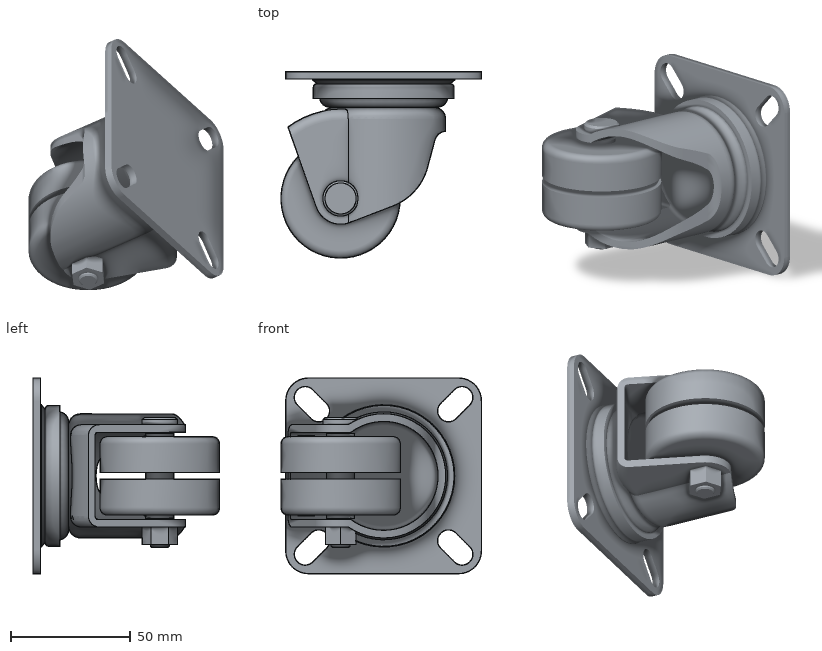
import cadquery as cq
import math


PLATE_SIZE = 82.0
PLATE_CORNER_RADIUS = 9.6
SHEET = 3.2
SLOT_WIDTH = 9.0
SLOT_RUN = 8.0
SLOT_OFFSET = 30.0

NECK_TOP_RADIUS = 29.8
NECK_RADIUS = 27.9
NECK_RIM_Y = -3.5
NECK_Y = -5.1
RING_RADIUS = 29.5
RING_ROUND = 1.5
RING_BOTTOM_Y = -11.3
DOME_RADIUS = 26.8
DOME_BOTTOM_RADIUS = 22.0
FORK_TOP_Y = -14.9

CAP_RADIUS = 26.0
CAP_ROUND = 5.0
ARM_HALF_WIDTH = 21.4
ARM_ROUND = 4.5
ARM_ROOF_Y = -15.7
ARM_ROOF_SHEET = 2.8
ARM_BEND_X = -17.5
ARM_BEND_RADIUS = 37.5
EYE_RADIUS = 10.8
FRONT_EDGE_ANGLE = 19.5
BOTTOM_EDGE_ANGLE = 21.0
BACK_EDGE_ANGLE = 15.0
NOTCH_Y = -25.0
NOTCH_X = 22.5
NOTCH_RADIUS = 5.0
HEEL_RADIUS = 24.0

AXLE_X = -18.0
AXLE_Y = -53.1
WHEEL_RADIUS = 25.0
WHEEL_WIDTH = 15.0
WHEEL_GAP = 2.8
WHEEL_ROUND = 3.0
HUB_RADIUS = 5.9
HUB_LENGTH = 35.6
AXLE_RADIUS = 4.0
AXLE_END_Z = -30.0
AXLE_CHAMFER = 0.6
HEAD_RADIUS = 7.4
HEAD_HEIGHT = 3.0
HEAD_CHAMFER = 0.9
NUT_CORNER_DIAMETER = 14.8
NUT_HEIGHT = 7.4
NUT_TURN = 90

DIAGONAL = math.sqrt(0.5)
FULL_TURN = 360
SLOT_ANGLE = 45
MARGIN = 10.0
TRIM_REACH = CAP_RADIUS + MARGIN
TRIM_BOTTOM_Y = AXLE_Y - EYE_RADIUS - MARGIN


def disc(radius, z_start, z_end):
    """Cylinder on the axle line between two Z levels."""
    base = cq.Workplane("XY", origin=(AXLE_X, AXLE_Y, min(z_start, z_end)))
    return base.circle(radius).extrude(abs(z_end - z_start))


def make_plate():
    plate = (
        cq.Workplane("XZ")
        .rect(PLATE_SIZE, PLATE_SIZE)
        .extrude(SHEET)
        .edges("|Y")
        .fillet(PLATE_CORNER_RADIUS)
    )
    for side_x in (-1, 1):
        for side_z in (-1, 1):
            slot = (
                cq.Workplane("XZ")
                .center(side_x * SLOT_OFFSET, side_z * SLOT_OFFSET)
                .slot2D(SLOT_RUN + SLOT_WIDTH, SLOT_WIDTH, SLOT_ANGLE * side_x * side_z)
                .extrude(SHEET)
            )
            plate = plate.cut(slot)
    return plate


def make_bearing():
    """Turned neck, ring and dome between the plate and the fork."""
    dome_drop = RING_BOTTOM_Y - FORK_TOP_Y
    dome_run = DOME_RADIUS - DOME_BOTTOM_RADIUS
    dome_middle = (
        DOME_BOTTOM_RADIUS + dome_run * DIAGONAL,
        RING_BOTTOM_Y - dome_drop * DIAGONAL,
    )
    ring_middle = (
        RING_RADIUS - RING_ROUND + RING_ROUND * DIAGONAL,
        NECK_Y - RING_ROUND + RING_ROUND * DIAGONAL,
    )
    return (
        cq.Workplane("XY")
        .moveTo(0, -SHEET)
        .lineTo(NECK_TOP_RADIUS, -SHEET)
        .lineTo(NECK_TOP_RADIUS, NECK_RIM_Y)
        .lineTo(NECK_RADIUS, NECK_Y)
        .lineTo(RING_RADIUS - RING_ROUND, NECK_Y)
        .threePointArc(ring_middle, (RING_RADIUS, NECK_Y - RING_ROUND))
        .lineTo(RING_RADIUS, RING_BOTTOM_Y)
        .lineTo(DOME_RADIUS, RING_BOTTOM_Y)
        .threePointArc(dome_middle, (DOME_BOTTOM_RADIUS, FORK_TOP_Y))
        .lineTo(0, FORK_TOP_Y)
        .close()
        .revolve(FULL_TURN, (0, 0, 0), (0, 1, 0))
    )


def cap_body(inset):
    """Round cap of the fork, moved inward by the inset."""
    top_y = FORK_TOP_Y - inset
    return (
        cq.Workplane("XZ", origin=(0, top_y, 0))
        .circle(CAP_RADIUS - inset)
        .extrude(top_y - TRIM_BOTTOM_Y)
        .faces(">Y")
        .edges()
        .fillet(CAP_ROUND - inset)
    )


def arm_body(side_inset, roof_inset):
    """Block of both arms under their curved roof, moved inward by the insets."""
    roof_y = ARM_ROOF_Y - roof_inset
    half_width = ARM_HALF_WIDTH - side_inset
    bend_radius = ARM_BEND_RADIUS - roof_inset
    bend_center_y = roof_y - bend_radius
    middle_x = ARM_BEND_X - bend_radius * DIAGONAL
    middle_y = bend_center_y + bend_radius * DIAGONAL
    arms = (
        cq.Workplane("XY", origin=(0, 0, -half_width))
        .moveTo(0, roof_y)
        .lineTo(ARM_BEND_X, roof_y)
        .threePointArc((middle_x, middle_y), (ARM_BEND_X - bend_radius, bend_center_y))
        .lineTo(ARM_BEND_X - bend_radius, TRIM_BOTTOM_Y)
        .lineTo(0, TRIM_BOTTOM_Y)
        .close()
        .extrude(2 * half_width)
    )
    for side_z in (-half_width, half_width):
        roof_edge = cq.selectors.NearestToPointSelector((middle_x, middle_y, side_z))
        arms = arms.edges(roof_edge).fillet(ARM_ROUND - side_inset)
    return arms


def fork_outline():
    """Side outline of the fork, extruded across its full width."""
    front = math.radians(FRONT_EDGE_ANGLE)
    bottom = math.radians(BOTTOM_EDGE_ANGLE)
    back_slope = math.tan(math.radians(BACK_EDGE_ANGLE))

    eye_front = (AXLE_X - EYE_RADIUS * math.cos(front), AXLE_Y - EYE_RADIUS * math.sin(front))
    eye_low = (AXLE_X, AXLE_Y - EYE_RADIUS)
    eye_bottom = (AXLE_X + EYE_RADIUS * math.sin(bottom), AXLE_Y - EYE_RADIUS * math.cos(bottom))
    front_top = (eye_front[0] + eye_front[1] * math.tan(front), 0)

    rise = NOTCH_Y - eye_bottom[1]
    run = NOTCH_X - eye_bottom[0]
    heel_dx = (run - back_slope * rise) / (1 - back_slope * math.tan(bottom))
    heel = (eye_bottom[0] + heel_dx, eye_bottom[1] + heel_dx * math.tan(bottom))

    outline = (
        cq.Workplane("XY", origin=(0, 0, -TRIM_REACH))
        .moveTo(*front_top)
        .lineTo(*eye_front)
        .threePointArc(eye_low, eye_bottom)
        .lineTo(*heel)
        .lineTo(NOTCH_X, NOTCH_Y)
        .lineTo(TRIM_REACH, NOTCH_Y)
        .lineTo(TRIM_REACH, 0)
        .close()
        .extrude(2 * TRIM_REACH)
    )
    heel_edge = cq.selectors.NearestToPointSelector((heel[0], heel[1], 0))
    outline = outline.edges(heel_edge).fillet(HEEL_RADIUS)
    notch_edge = cq.selectors.NearestToPointSelector((NOTCH_X, NOTCH_Y, 0))
    return outline.edges(notch_edge).fillet(NOTCH_RADIUS)


def make_fork():
    outside = cap_body(0).union(arm_body(0, 0))
    inside = cap_body(SHEET).union(arm_body(SHEET, ARM_ROOF_SHEET))
    return outside.cut(inside).intersect(fork_outline())


def make_wheel(side):
    """One wheel, rounded on its outer rim; side is +1 or -1 along Z."""
    inner_z = side * WHEEL_GAP / 2
    wheel = disc(WHEEL_RADIUS, inner_z, inner_z + side * WHEEL_WIDTH)
    outer_face = ">Z" if side > 0 else "<Z"
    return wheel.faces(outer_face).edges().fillet(WHEEL_ROUND)


def make_axle():
    """Hub sleeve, bolt with round head, and hexagon nut."""
    hub = disc(HUB_RADIUS, -HUB_LENGTH / 2, HUB_LENGTH / 2)
    shank = disc(AXLE_RADIUS, AXLE_END_Z, ARM_HALF_WIDTH).faces("<Z").chamfer(AXLE_CHAMFER)
    head = disc(HEAD_RADIUS, ARM_HALF_WIDTH, ARM_HALF_WIDTH + HEAD_HEIGHT)
    head = head.faces(">Z").edges().chamfer(HEAD_CHAMFER)
    nut = (
        cq.Workplane("XY", origin=(AXLE_X, AXLE_Y, -ARM_HALF_WIDTH))
        .transformed(rotate=(0, 0, NUT_TURN))
        .polygon(6, NUT_CORNER_DIAMETER)
        .extrude(-NUT_HEIGHT)
    )
    return hub.union(shank).union(head).union(nut)


result = make_plate().union(make_bearing()).union(make_fork()).union(make_axle())
for wheel_side in (-1, 1):
    result = result.union(make_wheel(wheel_side))